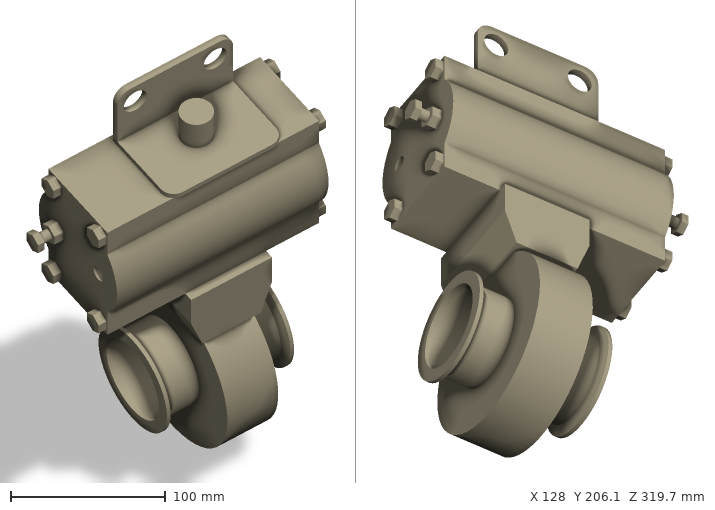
import cadquery as cq


ring_diameter = 128.0
ring_width = 40.0
ring_flat_height = 56.0
pipe_length = 100.0
pipe_diameter = 63.5
bore_diameter = 59.5
flange_diameter = 77.5
flange_rim = 3.0
flange_taper = 2.72
disc_thickness = ring_width

adapter_length = 80.0
adapter_top_width = 63.5
adapter_bottom_width = 46.0
adapter_taper_height = 25.0

actuator_bottom = 104.8
actuator_height = 101.0
actuator_width = 66.5
actuator_length = 166.5
actuator_offset = -10.0
cylinder_diameter = 88.2
stem_diameter = 23.0
stem_top = 232.5

hexagon_corners = 15.5
bolt_spacing_x = 51.0
bolt_spacing_z = 84.5
bolt_head = 6.0
stop_spacing = 46.0
nut_height = 7.0
screw_diameter = 8.0
screw_length = 19.8
screw_head = 5.0
port_diameter = 10.5
port_depth = 16.0

bracket_top = 255.7
bracket_left = -28.8
bracket_right = 35.0
bracket_width = 90.8
upright_thickness = 5.0
base_thickness = 3.8
bracket_corner = 10.2
bracket_hole_diameter = 18.0
bracket_hole_spacing = 63.0
bracket_hole_drop = 14.7

actuator_top = actuator_bottom + actuator_height
actuator_middle = actuator_bottom + actuator_height / 2
actuator_end = actuator_length / 2
bracket_height = bracket_top - actuator_top


def cylinder_along_y(diameter, length):
    """Cylinder on the Y axis, centred on the origin."""
    return cq.Workplane("XZ").circle(diameter / 2).extrude(length / 2, both=True)


def make_valve():
    """Ring and flanged pipe, with a bore from each end up to the closed disc."""
    half_length = pipe_length / 2
    pipe_radius = pipe_diameter / 2
    flange_radius = flange_diameter / 2
    rim_start = half_length - flange_rim
    taper_start = rim_start - flange_taper
    half_pipe = (
        cq.Workplane("XY")
        .polyline([
            (0, 0),
            (pipe_radius, 0),
            (pipe_radius, taper_start),
            (flange_radius, rim_start),
            (flange_radius, half_length),
            (0, half_length),
        ])
        .close()
        .revolve(360, (0, 0, 0), (0, 1, 0))
    )
    above_flat = (
        cq.Workplane("XY")
        .workplane(offset=ring_flat_height)
        .rect(ring_diameter, ring_width)
        .extrude(ring_diameter)
    )
    ring = cylinder_along_y(ring_diameter, ring_width).cut(above_flat)
    disc = cylinder_along_y(bore_diameter, disc_thickness)
    bores = cylinder_along_y(bore_diameter, pipe_length).cut(disc)
    return ring.union(half_pipe).union(half_pipe.mirror("XZ")).cut(bores)


def make_adapter():
    """Block whose lower part narrows towards the ring."""
    top = adapter_top_width / 2
    bottom = adapter_bottom_width / 2
    taper_top = ring_flat_height + adapter_taper_height
    return (
        cq.Workplane("YZ")
        .polyline([
            (-bottom, ring_flat_height),
            (bottom, ring_flat_height),
            (top, taper_top),
            (top, actuator_bottom),
            (-top, actuator_bottom),
            (-top, taper_top),
        ])
        .close()
        .extrude(adapter_length / 2, both=True)
    )


def end_plane(x, z, distance=actuator_end):
    """Plane facing -Y, placed from the actuator axis and at a distance in front of its middle."""
    return cq.Workplane("XZ", origin=(x, actuator_offset - distance, actuator_middle + z))


def hexagon(x, z, height, distance=actuator_end):
    """Hexagonal prism pointing out of the -Y end, with one corner up."""
    corner_up = (0, 0, 30)
    base = end_plane(x, z, distance).transformed(rotate=corner_up)
    return base.polygon(6, hexagon_corners).extrude(height)


def both_ends(shape):
    """The shape and its mirror image on the other end of the actuator."""
    return shape.union(shape.mirror("XZ", (0, actuator_offset, 0)))


def make_end_hardware():
    """Four bolt heads and a stop screw with its lock nut, on the -Y end."""
    stop_x = -stop_spacing / 2
    nut = hexagon(stop_x, 0, nut_height)
    shank = end_plane(stop_x, 0).circle(screw_diameter / 2).extrude(screw_length)
    head = hexagon(stop_x, 0, screw_head, actuator_end + screw_length - screw_head)
    hardware = nut.union(shank).union(head)
    for x in (-bolt_spacing_x / 2, bolt_spacing_x / 2):
        for z in (-bolt_spacing_z / 2, bolt_spacing_z / 2):
            hardware = hardware.union(hexagon(x, z, bolt_head))
    return hardware


def make_actuator():
    """Box and cylinder housing with bolts, stop screws, ports and the stem on top."""
    middle = end_plane(0, 0, 0)
    box = middle.rect(actuator_width, actuator_height).extrude(actuator_end, both=True)
    barrel = middle.circle(cylinder_diameter / 2).extrude(actuator_end, both=True)
    stem = (
        cq.Workplane("XY")
        .workplane(offset=actuator_middle)
        .circle(stem_diameter / 2)
        .extrude(stem_top - actuator_middle)
    )
    port = end_plane(stop_spacing / 2, 0).circle(port_diameter / 2).extrude(-port_depth)
    return box.union(barrel).union(stem).union(both_ends(make_end_hardware())).cut(both_ends(port))


def make_bracket():
    """Angle bracket: a base plate around the stem and an upright plate with two holes."""
    base = (
        cq.Workplane("XY")
        .workplane(offset=actuator_top)
        .center((bracket_left + bracket_right) / 2, 0)
        .rect(bracket_right - bracket_left, bracket_width)
        .extrude(base_thickness)
        .edges("|Z and >X")
        .fillet(bracket_corner)
    )
    upright = (
        cq.Workplane("YZ", origin=(bracket_left, 0, actuator_top + bracket_height / 2))
        .rect(bracket_width, bracket_height)
        .extrude(upright_thickness)
        .edges("|X and >Z")
        .fillet(bracket_corner)
    )
    holes = (
        cq.Workplane("YZ", origin=(bracket_left, 0, bracket_top - bracket_hole_drop))
        .pushPoints([(-bracket_hole_spacing / 2, 0), (bracket_hole_spacing / 2, 0)])
        .circle(bracket_hole_diameter / 2)
        .extrude(upright_thickness)
    )
    stem_hole = (
        cq.Workplane("XY")
        .workplane(offset=actuator_top)
        .circle(stem_diameter / 2)
        .extrude(base_thickness)
    )
    return base.union(upright).cut(holes).cut(stem_hole)


valve = make_valve()
adapter = make_adapter()
actuator = make_actuator()
bracket = make_bracket()

result = cq.Compound.makeCompound([
    valve.val(),
    adapter.val(),
    actuator.val(),
    bracket.val(),
])